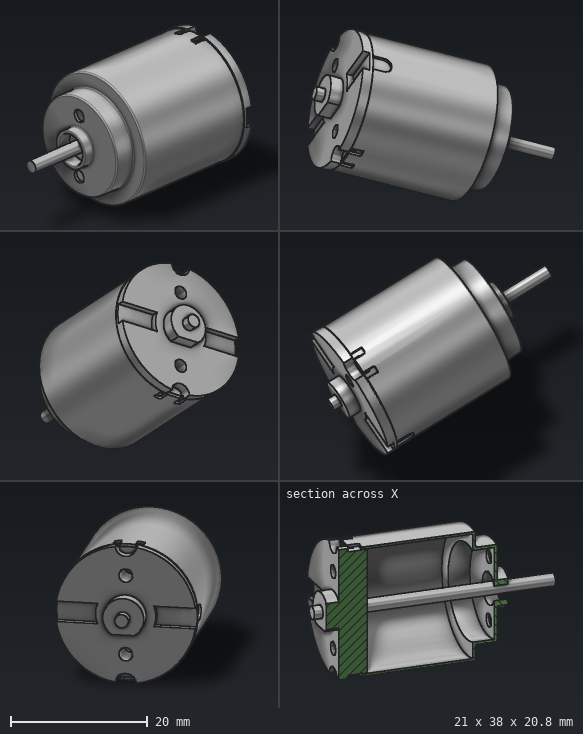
import cadquery as cq

shaft_diameter = 2.0
shaft_radius = shaft_diameter / 2
shaft_rear_y = 4.9
shaft_length = 38.0

can_diameter = 20.8
can_radius = can_diameter / 2
can_wall = 0.4
can_length = 20.0
rim_gap = 0.08
flange_radius = 7.98
flange_height = 3.42
boss_diameter = 6.1
boss_radius = boss_diameter / 2
boss_height = 1.7
bore_radius = 2.5
front_wall = 0.5
can_inner_radius = can_radius - can_wall
shoulder_y = -can_length
flange_y = shoulder_y - flange_height
boss_y = flange_y - boss_height

bend_radius = 0.23
boss_root_fillet = 0.15
boss_tip_fillet = 0.08
bore_edge_fillet = 0.08

vent_radius = shaft_radius
vent_offset = 4.98

window_width = 2.4
window_length = 3.0
tab_slot_inner_x = 1.18
tab_slot_width = 1.05
tab_slot_length = 2.0
tab_slot_fillet = 0.23

rim_radius = 10.5
rim_thickness = 1.55
plug_depth = window_length
cap_boss_radius = boss_radius
cap_boss_height = 1.98
cap_boss_flat_z = -2.5
cap_vent_radius = shaft_radius
cap_vent_offset = 6.0
notch_radius = 1.55
notch_relief_length = 1.05
terminal_slot_width = 2 * notch_radius
terminal_slot_depth = 1.03
terminal_slot_floor_radius = 4.5


def cylinder(radius, y_front, y_rear, x=0.0, z=0.0):
    """Cylinder parallel to the motor axis between two Y positions."""
    axis = cq.Vector(0, 1, 0)
    base = cq.Vector(x, y_front, z)
    return cq.Workplane(cq.Solid.makeCylinder(radius, y_rear - y_front, base, axis))


def block(x_range, y_range, z_range):
    """Axis-aligned box given by its limits along X, Y and Z."""
    sizes = [high - low for low, high in (x_range, y_range, z_range)]
    corner = (x_range[0], y_range[0], z_range[0])
    return cq.Workplane().box(*sizes, centered=False).translate(corner)


def circle_edge(radius, y):
    """Selector for the circular edge of one radius about the motor axis at one Y position."""
    tolerance = 0.005
    outer = radius + tolerance
    inner = radius - tolerance
    front = y - tolerance
    rear = y + tolerance
    up_to_radius = cq.selectors.BoxSelector((-outer, front, -outer), (outer, rear, outer), boundingbox=True)
    smaller = cq.selectors.BoxSelector((-inner, front, -inner), (inner, rear, inner), boundingbox=True)
    return up_to_radius - smaller


def make_shaft():
    return cylinder(shaft_radius, shaft_rear_y - shaft_length, shaft_rear_y)


def make_can_shell():
    """Stepped cup with an open rear end and a tubular boss around the shaft."""
    shell = cylinder(can_radius, shoulder_y, -rim_gap)
    shell = shell.union(cylinder(flange_radius, flange_y, shoulder_y))
    shell = shell.union(cylinder(boss_radius, boss_y, flange_y))
    shell = shell.cut(cylinder(can_inner_radius, shoulder_y + front_wall, 0))
    shell = shell.cut(cylinder(flange_radius - front_wall, flange_y + front_wall, shoulder_y + front_wall))
    shell = shell.cut(cylinder(bore_radius, boss_y, flange_y + front_wall))
    for radius, y in (
        (can_radius, shoulder_y),
        (flange_radius, shoulder_y),
        (flange_radius, flange_y),
    ):
        shell = shell.edges(circle_edge(radius, y)).fillet(bend_radius)
    shell = shell.edges(circle_edge(boss_radius, flange_y)).fillet(boss_root_fillet)
    shell = shell.edges(circle_edge(boss_radius, boss_y)).fillet(boss_tip_fillet)
    return shell.edges(circle_edge(bore_radius, boss_y)).fillet(bore_edge_fillet)


def make_window():
    """U-shaped opening through the can wall on the -X side."""
    half_width = window_width / 2
    straight = window_length - half_width
    return (
        cq.Workplane("YZ", origin=(-can_radius, 0, 0))
        .moveTo(0, -half_width)
        .lineTo(-straight, -half_width)
        .threePointArc((-window_length, 0), (-straight, half_width))
        .lineTo(0, half_width)
        .close()
        .extrude(2 * can_wall)
    )


def make_tab_slot(side_x, side_z):
    """Short slot through the can wall beside the centre plane, rounded at its inner end corner."""
    inner_x = side_x * tab_slot_inner_x
    outer_x = side_x * (tab_slot_inner_x + tab_slot_width)
    slot = block(
        (min(inner_x, outer_x), max(inner_x, outer_x)),
        (-tab_slot_length, 0),
        (0, can_radius),
    )
    corner = "<X and <Y" if side_x > 0 else ">X and <Y"
    slot = slot.edges("|Z").edges(corner).fillet(tab_slot_fillet)
    return slot if side_z > 0 else slot.mirror("XY")


def make_can():
    can = make_can_shell().cut(make_window())
    for side in (1, -1):
        can = can.cut(cylinder(vent_radius, flange_y, flange_y + front_wall, z=side * vent_offset))
        for side_x in (1, -1):
            can = can.cut(make_tab_slot(side_x, side))
    return can


def make_terminal_slots():
    """Two slots in the rear face that run from the rim in to a round hub."""
    half_width = terminal_slot_width / 2
    floor_y = rim_thickness - terminal_slot_depth
    bar = block((-rim_radius, rim_radius), (floor_y, rim_thickness), (-half_width, half_width))
    return bar.cut(cylinder(terminal_slot_floor_radius, floor_y, rim_thickness))


def make_rim_notch(side):
    """Round notch through the rim; its two flanks run on into the plug beside the can's tongue."""
    centre_z = side * rim_radius
    notch = cylinder(notch_radius, 0, rim_thickness, z=centre_z)
    relief = cylinder(notch_radius, -notch_relief_length, 0, z=centre_z)
    tongue_seat = block(
        (-tab_slot_inner_x, tab_slot_inner_x), (-notch_relief_length, 0), (-2 * rim_radius, 2 * rim_radius)
    )
    return notch.union(relief.cut(tongue_seat))


def make_cap():
    boss_rear_y = rim_thickness + cap_boss_height
    boss = cylinder(cap_boss_radius, rim_thickness, boss_rear_y)
    below_flat = block(
        (-cap_boss_radius, cap_boss_radius), (rim_thickness, boss_rear_y), (-cap_boss_radius, cap_boss_flat_z)
    )
    cap = cylinder(rim_radius, 0, rim_thickness)
    cap = cap.union(cylinder(can_inner_radius, -plug_depth, 0))
    cap = cap.union(boss.cut(below_flat))
    cap = cap.cut(make_terminal_slots())
    for side in (1, -1):
        cap = cap.cut(make_rim_notch(side))
        cap = cap.cut(cylinder(cap_vent_radius, -plug_depth, rim_thickness, z=side * cap_vent_offset))
    return cap.cut(cylinder(shaft_radius, -plug_depth, boss_rear_y))


shaft = make_shaft()
can = make_can()
cap = make_cap()

result = cq.Compound.makeCompound([shaft.val(), can.val(), cap.val()])